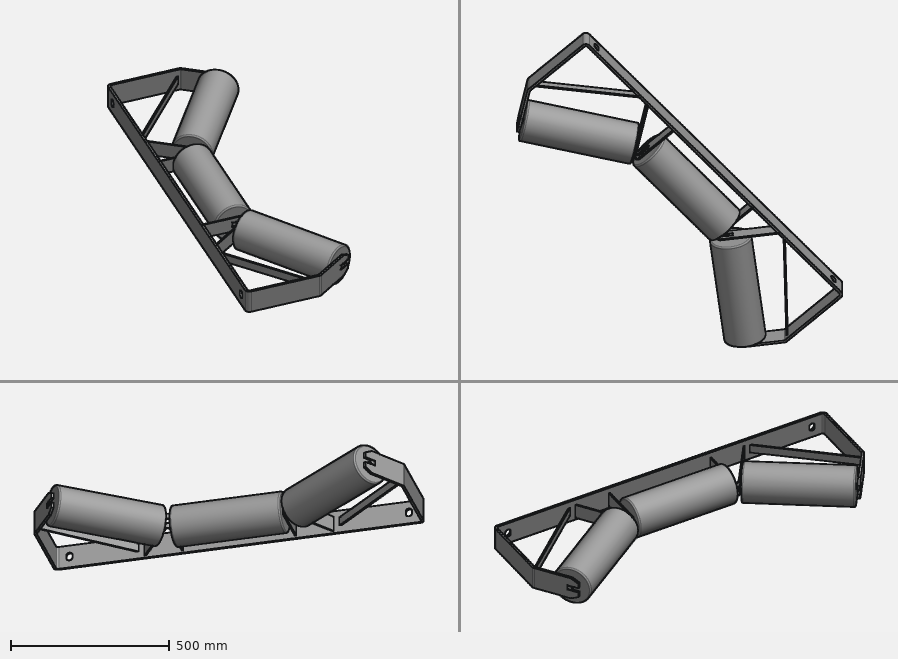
import cadquery as cq
import math

FRAME_LENGTH = 1210.0
FRAME_HEIGHT = 79.0
FRAME_THICKNESS = 8.0
FRAME_BEND_RADIUS = 15.0
ARM_BEND_RADIUS = 12.0
ARM_TIP_Y = 380.0
ARM_CHAMFER_LENGTH = 25.0
ARM_CHAMFER_HEIGHT = 13.0
MOUNT_SPACING = 1111.0
MOUNT_WIDTH = 20.0
MOUNT_HEIGHT = 28.0

ROLLER_DIAMETER = 133.0
ROLLER_LENGTH = 360.0
ROLLER_EDGE = 5.0
AXLE_DIAMETER = 18.0
AXLE_FLAT_WIDTH = 13.0
TROUGH_ANGLE = 35.0
FORWARD_TILT = 1.0
CENTRE_ROLLER_Y = 123.0
SIDE_ROLLER_X = 373.0
SIDE_ROLLER_Y = 243.0

CENTRE_GAP = 2.0
SIDE_GAP = 6.0
SLOT_WIDTH = 17.0
SLOT_REACH = 73.0
SLOT_DEPTH = 24.0

BRACKET_THICKNESS = 5.0
BRACKET_HEIGHT = 51.0
BRACKET_BEND_RADIUS = 11.0

BRACE_HEIGHT = 29.0
BRACE_RISE = 7.0
BRACE_TOP_Y = 241.0
BRACE_FOOT_X = 328.0

trough = math.radians(TROUGH_ANGLE)
axis_x = math.cos(trough)
axis_y = math.sin(trough)
half_length = FRAME_LENGTH / 2
half_roller = ROLLER_LENGTH / 2

side_near = half_roller + SIDE_GAP
side_far = side_near + BRACKET_THICKNESS
arm_outer = side_near + FRAME_THICKNESS
centre_near = half_roller + CENTRE_GAP
centre_far = centre_near + BRACKET_THICKNESS

tilt_slope = math.tan(math.radians(FORWARD_TILT))
side_roller_z = -side_near * tilt_slope
centre_roller_z = 2 * side_roller_z


def side_point(along, y):
    """Point at height y on the line square to the right roller axis, 'along' from its middle."""
    x = SIDE_ROLLER_X + (along - (y - SIDE_ROLLER_Y) * axis_y) / axis_x
    return x, y


def side_point_at_x(along, x):
    """Point at a given x on the line square to the right roller axis, 'along' from its middle."""
    y = SIDE_ROLLER_Y + (along - (x - SIDE_ROLLER_X) * axis_x) / axis_y
    return x, y


def mirror_points(points):
    """The same points on the left side."""
    return [(-x, y) for x, y in points]


def prism(points, bottom, height):
    """Upright prism on an XY outline."""
    return cq.Workplane("XY", origin=(0, 0, bottom)).polyline(points).close().extrude(height)


def round_upright_edges(body, corners, radius):
    """Round the upright edges that stand on the given XY corners."""
    middle_z = body.val().Center().z
    for x, y in corners:
        upright = cq.selectors.NearestToPointSelector((x, y, middle_z))
        body = body.edges(upright).fillet(radius)
    return body


def axle_slot(centre, up, across):
    """Square-ended cutter for an axle: 'up' points to its open end, 'across' along the axle."""
    plane = cq.Plane(origin=centre, xDir=up, normal=across)
    floor = -AXLE_DIAMETER / 2
    throat = cq.Workplane(plane).center((SLOT_REACH + floor) / 2, 0).rect(SLOT_REACH - floor, SLOT_WIDTH)
    return throat.extrude(SLOT_DEPTH / 2, both=True)


def side_axle_slot(along):
    """Slot for the right roller axle at a distance 'along' from the middle of the roller."""
    centre = (
        SIDE_ROLLER_X + along * axis_x,
        SIDE_ROLLER_Y + along * axis_y,
        side_roller_z + along * tilt_slope,
    )
    return axle_slot(centre, (-axis_y, axis_x, 0), (axis_x, axis_y, 0))


def arm_tip_chamfers():
    """Two wedges that cut the upper and lower corners off the free end of the right arm."""
    tip_x, tip_y = side_point(arm_outer, ARM_TIP_Y)
    plane = cq.Plane(origin=(tip_x, tip_y, 0), xDir=(-axis_y, axis_x, 0), normal=(axis_x, axis_y, 0))
    edge = FRAME_HEIGHT / 2
    wedge = (
        cq.Workplane(plane)
        .polyline([(-ARM_CHAMFER_LENGTH, edge), (0, edge - ARM_CHAMFER_HEIGHT), (0, edge)])
        .close()
        .extrude(FRAME_THICKNESS * 2, both=True)
    )
    return wedge.union(wedge.mirror("XY"))


def make_frame():
    """Bent flat bar with a base, two uprights, two slotted arms and a mounting hole at each end."""
    inner_x = half_length - FRAME_THICKNESS
    shoulder = side_point_at_x(arm_outer, half_length)
    inner_shoulder = side_point_at_x(side_near, inner_x)
    outer_tip = side_point(arm_outer, ARM_TIP_Y)
    inner_tip = (outer_tip[0] - FRAME_THICKNESS * axis_x, outer_tip[1] - FRAME_THICKNESS * axis_y)
    right = [
        (half_length, 0),
        shoulder,
        outer_tip,
        inner_tip,
        inner_shoulder,
        (inner_x, FRAME_THICKNESS),
    ]
    outline = right + mirror_points(right)[::-1]
    body = prism(outline, -FRAME_HEIGHT / 2, FRAME_HEIGHT)

    inner_bend = FRAME_BEND_RADIUS - FRAME_THICKNESS
    for corner, radius in [
        ((half_length, 0), FRAME_BEND_RADIUS),
        ((inner_x, FRAME_THICKNESS), inner_bend),
        (shoulder, ARM_BEND_RADIUS),
        (inner_shoulder, ARM_BEND_RADIUS - FRAME_THICKNESS),
    ]:
        body = round_upright_edges(body, [corner] + mirror_points([corner]), radius)

    for cutter in [arm_tip_chamfers(), side_axle_slot(side_near)]:
        body = body.cut(cutter).cut(cutter.mirror("YZ"))

    mounts = (
        cq.Workplane("XZ")
        .rarray(MOUNT_SPACING, 12, 2, 1)
        .slot2D(MOUNT_HEIGHT, MOUNT_WIDTH, 90)
        .extrude(-FRAME_THICKNESS)
    )
    return body.cut(mounts)


def make_bracket():
    """Folded strip on the right whose legs carry the centre roller and the right roller."""
    apex = side_point_at_x(-side_near, centre_near)
    inner_apex = side_point_at_x(-side_far, centre_far)
    outline = [
        (centre_near, FRAME_THICKNESS),
        apex,
        side_point(-side_near, FRAME_THICKNESS),
        side_point(-side_far, FRAME_THICKNESS),
        inner_apex,
        (centre_far, FRAME_THICKNESS),
    ]
    body = prism(outline, centre_roller_z - BRACKET_HEIGHT / 2, BRACKET_HEIGHT)
    body = round_upright_edges(body, [apex], BRACKET_BEND_RADIUS)
    body = round_upright_edges(body, [inner_apex], BRACKET_BEND_RADIUS - BRACKET_THICKNESS)
    centre_slot = axle_slot((centre_near, CENTRE_ROLLER_Y, centre_roller_z), (0, 1, 0), (1, 0, 0))
    return body.cut(centre_slot).cut(side_axle_slot(-side_near))


def make_brace():
    """Diagonal strip on the right between the upright and the base of the frame."""
    wall_x = half_length - FRAME_THICKNESS
    slope = (BRACE_TOP_Y - FRAME_THICKNESS) / (wall_x - BRACE_FOOT_X)
    outline = [
        (wall_x, BRACE_TOP_Y),
        (BRACE_FOOT_X, FRAME_THICKNESS),
        (BRACE_FOOT_X + BRACE_RISE / slope, FRAME_THICKNESS),
        (wall_x, BRACE_TOP_Y - BRACE_RISE),
    ]
    return prism(outline, -BRACE_HEIGHT / 2, BRACE_HEIGHT)


def make_roller(axle_left, axle_right):
    """Roller along X, centred on the origin, with its axle reaching to the given ends."""
    drum = (
        cq.Workplane("YZ", origin=(-half_roller, 0, 0))
        .circle(ROLLER_DIAMETER / 2)
        .extrude(ROLLER_LENGTH)
        .edges()
        .fillet(ROLLER_EDGE)
    )
    ends = cq.Workplane("YZ", origin=(-axle_left, 0, 0))
    axle_length = axle_left + axle_right
    flats = ends.rect(AXLE_DIAMETER, AXLE_FLAT_WIDTH).extrude(axle_length)
    axle = ends.circle(AXLE_DIAMETER / 2).extrude(axle_length).intersect(flats)
    return drum.union(axle)


def make_side_roller():
    """Right roller, tilted and turned into the trough angle."""
    roller = make_roller(side_far, arm_outer)
    tilted = roller.rotate((0, 0, 0), (0, 1, 0), -FORWARD_TILT)
    turned = tilted.rotate((0, 0, 0), (0, 0, 1), TROUGH_ANGLE)
    return turned.translate((SIDE_ROLLER_X, SIDE_ROLLER_Y, side_roller_z))


frame = make_frame()
centre_roller = make_roller(centre_far, centre_far).translate((0, CENTRE_ROLLER_Y, centre_roller_z))

bodies = [frame.val(), centre_roller.val()]
for make_body in (make_side_roller, make_bracket, make_brace):
    right_body = make_body()
    bodies += [right_body.val(), right_body.mirror("YZ").val()]

result = cq.Compound.makeCompound(bodies)